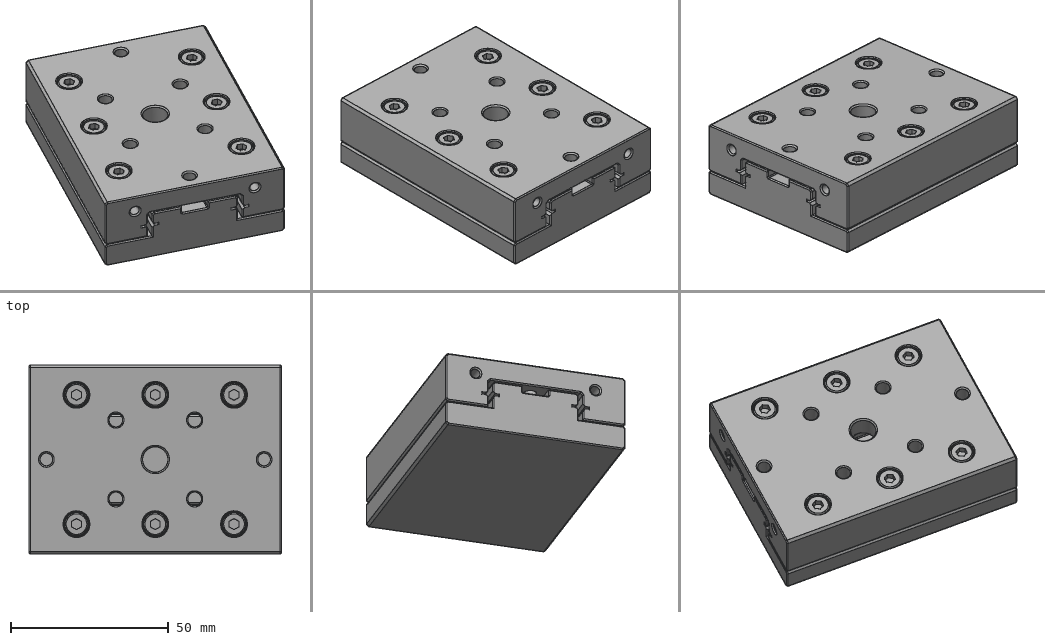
import cadquery as cq
import math

length = 80.0
width = 60.0
height = 25.0
half_length = length / 2
half_width = width / 2

base_plate_top = 8.2
carriage_bottom = 8.4

rail_top = 17.3
channel_top = 17.8
rail_half_width = 14.3
channel_half_width = 15.8
rail_bevel = 0.7
channel_bevel = 0.8

outer_bevel = 0.8
parting_bevel = 0.6
end_bevel = 0.4

groove_half_width = 4.4
groove_floor = 15.0
groove_bevel = 0.3

race_y = (rail_half_width + channel_half_width) / 2
race_z = 12.7
race_vee_half_diagonal = 1.9
race_slot_half_depth = 3.0
race_slot_height = 0.8

hole_pitch = 25.0

screw_y = 20.5
screw_bore_diameter = 7.8
screw_bore_bevel = 0.3
screw_head_diameter = 7.4
screw_head_bevel = 0.4
screw_head_sink = 0.3
screw_recess_depth = 4.0
hex_across_flats = 3.0
hex_depth = 2.0

center_hole_diameter = 8.0
mounting_hole_diameter = 4.3
mounting_hole_bevel = 0.4
dowel_hole_diameter = 4.0
dowel_hole_x = 34.5
hole_bevel = 0.5

end_hole_diameter = 3.0
end_hole_bevel = 0.5
end_hole_y = 20.0
end_hole_z = 19.4
end_hole_depth = 8.0
drill_point_angle = 118.0


def bevelled_bar(points):
    """Extrude a Y-Z outline over the full length and bevel both ends."""
    block = cq.Workplane("YZ").polyline(points).close().extrude(half_length, both=True)
    return block.faces("<X or >X").chamfer(end_bevel)


def mirrored(half_outline):
    """Complete an outline given for +Y with its mirror image at -Y."""
    return half_outline + [(-y, z) for y, z in reversed(half_outline)]


def cut_races(body):
    """Cut both races over the full length: a square vee crossed by a thin slot."""
    for y in (-race_y, race_y):
        center = (y, race_z)
        slot = (
            cq.Workplane("YZ")
            .pushPoints([center])
            .rect(2 * race_slot_half_depth, race_slot_height)
            .extrude(half_length, both=True)
        )
        vee = (
            cq.Workplane("YZ")
            .pushPoints([center])
            .polygon(4, 2 * race_vee_half_diagonal)
            .extrude(half_length, both=True)
        )
        body = body.cut(slot).cut(vee)
    return body


def make_hole(diameter, bevel, depth, point_length=0.0):
    """Hole cutter going down from the origin, with a conical rim and an optional drill point."""
    radius = diameter / 2
    outline = [
        (0, 0),
        (radius + bevel, 0),
        (radius, -bevel),
        (radius, -depth),
        (0, -depth - point_length),
    ]
    return cq.Workplane("XZ").polyline(outline).close().revolve(360, (0, 0), (0, 1))


def make_screw_recess():
    """Cutter that leaves a socket screw head standing in a counterbore."""
    bore = make_hole(screw_bore_diameter, screw_bore_bevel, screw_recess_depth)
    head = (
        cq.Workplane("XY", origin=(0, 0, -screw_recess_depth))
        .circle(screw_head_diameter / 2)
        .extrude(screw_recess_depth - screw_head_sink)
        .faces(">Z")
        .chamfer(screw_head_bevel)
    )
    hex_across_corners = hex_across_flats / math.cos(math.pi / 6)
    socket = (
        cq.Workplane("XY", origin=(0, 0, -screw_head_sink))
        .transformed(rotate=(0, 0, 90))
        .polygon(6, hex_across_corners)
        .extrude(-hex_depth)
    )
    return bore.cut(head).union(socket)


def cut_from_top(body, cutter, x_places, y_places):
    """Cut a copy of the cutter into the top face at every crossing of the given places."""
    for x in x_places:
        for y in y_places:
            body = body.cut(cutter.translate((x, y, height)))
    return body


def cut_top_holes(carriage):
    """Cut the center, dowel and mounting holes down into the channel."""
    thickness = height - channel_top
    half_pitch = hole_pitch / 2

    center_hole = make_hole(center_hole_diameter, hole_bevel, thickness)
    carriage = cut_from_top(carriage, center_hole, (0,), (0,))

    dowel_hole = make_hole(dowel_hole_diameter, hole_bevel, thickness)
    carriage = cut_from_top(carriage, dowel_hole, (-dowel_hole_x, dowel_hole_x), (0,))

    mounting_hole = make_hole(mounting_hole_diameter, mounting_hole_bevel, thickness)
    places = (-half_pitch, half_pitch)
    return cut_from_top(carriage, mounting_hole, places, places)


def cut_end_holes(carriage):
    """Drill two pointed holes into each end."""
    point_length = end_hole_diameter / 2 / math.tan(math.radians(drill_point_angle / 2))
    end_hole = make_hole(end_hole_diameter, end_hole_bevel, end_hole_depth, point_length)
    for side in (-1, 1):
        facing_end = end_hole.rotate((0, 0, 0), (0, 1, 0), side * 90)
        for y in (-end_hole_y, end_hole_y):
            carriage = carriage.cut(facing_end.translate((side * half_length, y, end_hole_z)))
    return carriage


def make_base():
    """Plate with a raised rail that reaches into the carriage."""
    outline = [
        (groove_half_width - groove_bevel, groove_floor),
        (groove_half_width, groove_floor + groove_bevel),
        (groove_half_width, rail_top),
        (rail_half_width - rail_bevel, rail_top),
        (rail_half_width, rail_top - rail_bevel),
        (rail_half_width, base_plate_top),
        (half_width - parting_bevel, base_plate_top),
        (half_width, base_plate_top - parting_bevel),
        (half_width, outer_bevel),
        (half_width - outer_bevel, 0),
    ]
    return cut_races(bevelled_bar(mirrored(outline)))


def make_carriage():
    """Inverted channel that slides over the rail."""
    outline = [
        (half_width - outer_bevel, height),
        (half_width, height - outer_bevel),
        (half_width, carriage_bottom + parting_bevel),
        (half_width - parting_bevel, carriage_bottom),
        (channel_half_width, carriage_bottom),
        (channel_half_width, channel_top - channel_bevel),
        (channel_half_width - channel_bevel, channel_top),
    ]
    carriage = cut_races(bevelled_bar(mirrored(outline)))
    screw_x_places = (-hole_pitch, 0, hole_pitch)
    carriage = cut_from_top(carriage, make_screw_recess(), screw_x_places, (-screw_y, screw_y))
    carriage = cut_top_holes(carriage)
    return cut_end_holes(carriage)


base = make_base()
carriage = make_carriage()

result = cq.Compound.makeCompound([base.solids().val(), carriage.solids().val()])